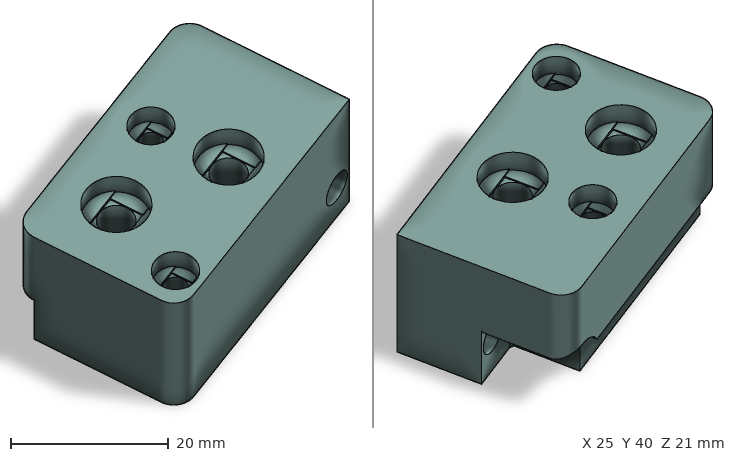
import cadquery as cq
import math

WIDTH = 25.0
LENGTH = 40.0
HEIGHT = 21.0
CORNER_RADIUS = 3.0

STEP_DEPTH = 3.0
STEP_HEIGHT = 8.0

PIN_DIAMETER = 5.0
PIN_Y = LENGTH - 3.0
PIN_Z = 6.0
KNUCKLE_RADIUS = 4.5
NOTCH_Y = 32.0
NOTCH_DEPTH = 12.5

EDGE_RADIUS = 4.0
EDGE_CENTER_Y = 30.0
EDGE_CENTER_X = NOTCH_DEPTH + math.sqrt(EDGE_RADIUS**2 - (NOTCH_Y - EDGE_CENTER_Y) ** 2)
POCKET_Y = PIN_Y - KNUCKLE_RADIUS
POCKET_DEPTH = EDGE_CENTER_X - math.sqrt(EDGE_RADIUS**2 - (POCKET_Y - EDGE_CENTER_Y) ** 2)

COUNTERBORE_DEPTH = 3.0
BRIDGE_STEP = 0.2
LARGE_HOLE = 5.0
LARGE_COUNTERBORE = 9.0
LARGE_CENTERS = [(17.0, 24.0), (9.0, 10.0)]
SMALL_HOLE = 3.2
SMALL_COUNTERBORE = 6.1
SMALL_CENTERS = [(6.0, 23.0), (21.0, 5.0)]


def box(x_size, y_size, z_size, corner=(0, 0, 0)):
    return cq.Workplane("XY").box(x_size, y_size, z_size, centered=False).translate(corner)


def x_cylinder(radius, length):
    """Cylinder on the hinge axis, starting at the -X side."""
    return cq.Workplane("YZ").center(PIN_Y, PIN_Z).circle(radius).extrude(length)


def block():
    """Block with three rounded vertical edges; the +X +Y edge stays sharp."""
    body = box(WIDTH, LENGTH, HEIGHT)
    body = body.edges("|Z and (<X or <Y)").fillet(CORNER_RADIUS)
    return body.cut(box(STEP_DEPTH, LENGTH, STEP_HEIGHT))


def hinge_seat():
    notch = box(NOTCH_DEPTH, LENGTH - NOTCH_Y, STEP_HEIGHT, (0, NOTCH_Y, 0))
    pocket = x_cylinder(KNUCKLE_RADIUS, POCKET_DEPTH)
    pocket = pocket.union(box(POCKET_DEPTH, LENGTH - POCKET_Y, PIN_Z, (0, POCKET_Y, 0)))
    edge_space = box(POCKET_DEPTH, POCKET_Y - NOTCH_Y, PIN_Z, (0, NOTCH_Y, 0))
    edge_round = cq.Workplane("XY").center(EDGE_CENTER_X, EDGE_CENTER_Y).circle(EDGE_RADIUS).extrude(PIN_Z)
    pin_hole = x_cylinder(PIN_DIAMETER / 2, WIDTH)
    return notch.union(pocket).union(edge_space.cut(edge_round)).union(pin_hole)


def screw_hole(center, hole, counterbore):
    """Through hole whose counterbore floor steps down to a slot, then to a square."""
    floor_z = HEIGHT - COUNTERBORE_DEPTH
    at_floor = cq.Workplane("XY", origin=(*center, floor_z))
    head = at_floor.circle(counterbore / 2).extrude(COUNTERBORE_DEPTH)
    slot = at_floor.rect(hole, counterbore).extrude(-BRIDGE_STEP)
    slot = slot.intersect(at_floor.circle(counterbore / 2).extrude(-BRIDGE_STEP))
    square = at_floor.rect(hole, hole).extrude(-2 * BRIDGE_STEP)
    shank = at_floor.circle(hole / 2).extrude(-floor_z)
    return head.union(slot).union(square).union(shank)


result = block().cut(hinge_seat())
for hole_center in LARGE_CENTERS:
    result = result.cut(screw_hole(hole_center, LARGE_HOLE, LARGE_COUNTERBORE))
for hole_center in SMALL_CENTERS:
    result = result.cut(screw_hole(hole_center, SMALL_HOLE, SMALL_COUNTERBORE))